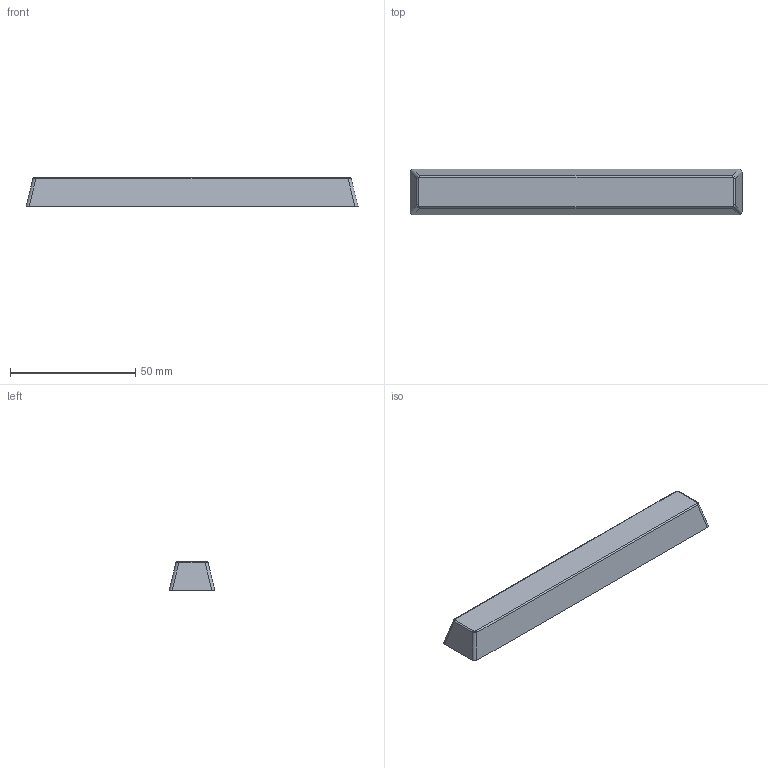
import cadquery as cq

LENGTH = 132.6
WIDTH = 18.3
HEIGHT = 11.4
DRAFT_ANGLE = 14.0
CORNER_RADIUS = 1.25
TOP_EDGE_RADIUS = 0.6


def tapered_body():
    """Sharp-edged bar with its base centred on the origin, in the XY plane."""
    return cq.Workplane("XY").rect(LENGTH, WIDTH).extrude(HEIGHT, taper=DRAFT_ANGLE)


def round_corners(body):
    """Round the sloping edges, the only ones not parallel to X or Y."""
    return body.edges("not(|X or |Y)").fillet(CORNER_RADIUS)


def round_top_rim(body):
    """Round the edge loop around the top face."""
    return body.faces(">Z").edges().fillet(TOP_EDGE_RADIUS)


result = round_top_rim(round_corners(tapered_body()))